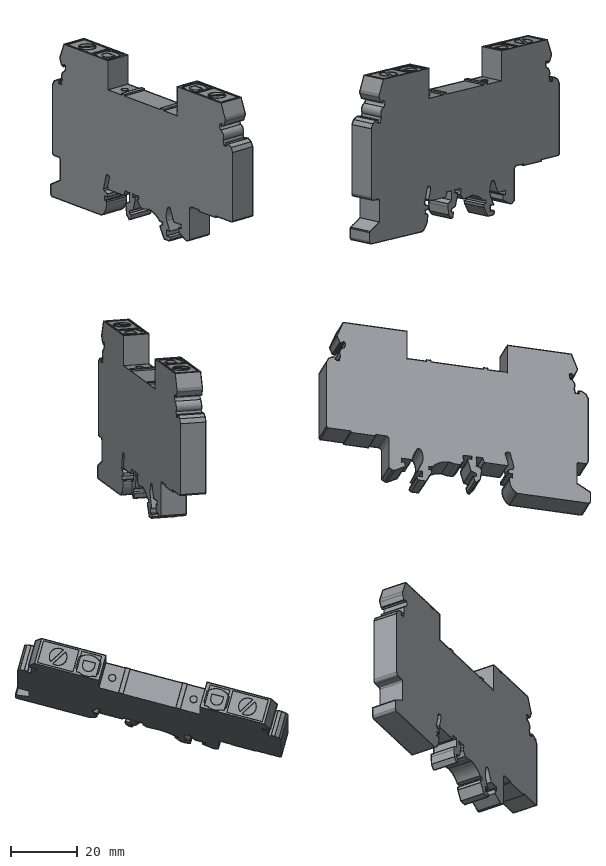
import cadquery as cq

thickness = 8.0
top_z = 50.1
overall_length = 82.8
foot_reach = 0.75
half_width = (overall_length - foot_reach) / 2
split_z = 16.6

deck_z = 40.8
tower_inner_x = 15.7
tower_outer_x = 35.8
ridge_inner_x = 8.2
ridge_width = 1.4
ridge_height = 0.5

shelf_z = 13.5
pad_start_x = 25.5
pad_end_x = 33.3
pad_drop = 0.5
wall_corner_radius = 1.0
wall_chamfer = 0.4

mark_depth = 0.1
terminal_x = 29.5
terminal_length = 11.0
terminal_width = 6.95
screw_y = -0.2
screw_radius = 2.65
slot_width = 0.9
slot_angle = 59.0
test_point_x = 12.7
test_point_radius = 1.1

button_x = 19.95
button_plate_half = 3.1
button_plate_top = 3.4
button_plate_bottom = -3.15
barrel_half = 3.5
barrel_crown_top = 2.9
barrel_crown_bottom = -3.7
barrel_rise = 1.65
dee_radius = 1.8
dee_top = 0.9
dee_center_y = -0.3


def extrude_profile(path):
    """Extrude a closed XZ outline, centred on Y = 0."""
    return path.close().extrude(thickness / 2, both=True)


def upper_half():
    """Right half of the upper housing, with the marker-strip notches on its outer side."""
    path = (
        cq.Workplane("XZ")
        .moveTo(0, split_z)
        .lineTo(0, deck_z)
        .lineTo(ridge_inner_x, deck_z)
        .lineTo(ridge_inner_x, deck_z + ridge_height)
        .lineTo(ridge_inner_x + ridge_width, deck_z + ridge_height)
        .lineTo(ridge_inner_x + ridge_width, deck_z)
        .lineTo(tower_inner_x, deck_z)
        .lineTo(tower_inner_x, top_z)
        .lineTo(tower_outer_x, top_z)
        .lineTo(37.5, 45.7)
        .threePointArc((37.7, 45.2), (37.5, 44.7))
        .lineTo(36.85, 43.1)
        .lineTo(36.4, 43.1)
        .lineTo(36.0, 42.8)
        .lineTo(35.85, 43.55)
        .lineTo(35.3, 43.4)
        .threePointArc((35.1, 42.5), (35.6, 41.5))
        .threePointArc((36.8, 40.2), (36.6, 38.5))
        .lineTo(36.85, 37.8)
        .lineTo(37.0, 36.9)
        .lineTo(37.8, 36.9)
        .lineTo(38.25, 37.2)
        .lineTo(37.9, 37.9)
        .lineTo(39.0, 37.9)
        .lineTo(40.3, 37.2)
        .lineTo(half_width, 35.8)
        .lineTo(half_width, split_z)
    )
    return extrude_profile(path)


def lower_body():
    """Foot and DIN-rail clip below the upper housing."""
    leg_x = 21.45
    foot_x = -half_width - foot_reach
    path = (
        cq.Workplane("XZ")
        .moveTo(-half_width, split_z)
        .lineTo(-half_width, shelf_z + wall_corner_radius)
        .radiusArc((-half_width + wall_corner_radius, shelf_z), -wall_corner_radius)
        .lineTo(-38.0, shelf_z)
        .threePointArc((-37.7, 13.3), (-37.5, 13.0))
        .lineTo(-37.5, 6.4)
        .lineTo(foot_x + 0.25, 4.1)
        .lineTo(foot_x, 3.8)
        .lineTo(foot_x, 1.0)
        .threePointArc((foot_x + 0.25, 0.4), (foot_x + 0.75, 0.2))
        .lineTo(-18.7, 0.2)
        .threePointArc((-17.05, 1.8), (-16.4, 4.0))
        .lineTo(-16.3, 5.0)
        .lineTo(-16.65, 5.3)
        .lineTo(-17.3, 5.3)
        .lineTo(-17.3, 6.6)
        .lineTo(-16.0, 6.6)
        .lineTo(-16.0, 7.6)
        .lineTo(-17.5, 8.3)
        .lineTo(-17.7, 8.8)
        .lineTo(-16.7, 12.9)
        .threePointArc((-15.9, 13.75), (-15.1, 12.8))
        .lineTo(-16.0, 9.6)
        .lineTo(-15.65, 9.1)
        .lineTo(-8.45, 9.1)
        .lineTo(-7.95, 10.6)
        .lineTo(-6.0, 10.6)
        .lineTo(-6.0, 7.7)
        .lineTo(-7.5, 6.9)
        .lineTo(-7.5, 5.9)
        .lineTo(-7.3, 3.4)
        .lineTo(-6.05, 2.0)
        .lineTo(-5.5, 2.3)
        .lineTo(-5.05, 3.8)
        .lineTo(-6.0, 4.1)
        .threePointArc((-6.0, 4.8), (-5.5, 5.1))
        .lineTo(-4.3, 5.55)
        .lineTo(-3.3, 8.95)
        .lineTo(-3.5, 9.6)
        .lineTo(-4.55, 9.6)
        .lineTo(-4.55, 10.6)
        .lineTo(-2.3, 10.6)
        .threePointArc((-1.9, 10.4), (-1.9, 9.85))
        .lineTo(-2.1, 8.7)
        .lineTo(-0.9, 7.2)
        .lineTo(0.75, 7.2)
        .lineTo(2.65, 7.6)
        .threePointArc((5.4, 6.95), (7.8, 5.2))
        .lineTo(8.95, 5.1)
        .lineTo(8.95, 4.2)
        .lineTo(7.95, 3.9)
        .lineTo(8.1, 3.0)
        .lineTo(9.85, 0)
        .lineTo(12.2, 0)
        .lineTo(12.75, 0.7)
        .lineTo(12.6, 1.3)
        .lineTo(10.9, 1.3)
        .lineTo(10.9, 3.15)
        .lineTo(12.4, 3.15)
        .lineTo(11.0, 6.1)
        .threePointArc((10.8, 8.0), (11.35, 10.2))
        .threePointArc((12.1, 10.7), (12.75, 10.2))
        .lineTo(14.25, 6.6)
        .lineTo(17.5, 6.6)
        .lineTo(17.5, 5.4)
        .lineTo(16.5, 5.4)
        .lineTo(16.5, 3.9)
        .lineTo(19.7, 2.15)
        .lineTo(20.4, 2.15)
        .lineTo(leg_x, 2.9)
        .lineTo(leg_x, shelf_z - wall_corner_radius)
        .radiusArc((leg_x + wall_corner_radius, shelf_z), wall_corner_radius)
        .lineTo(pad_start_x, shelf_z)
        .lineTo(pad_start_x, shelf_z - pad_drop)
        .lineTo(pad_end_x, shelf_z - pad_drop)
        .lineTo(pad_end_x, shelf_z)
        .lineTo(half_width - wall_chamfer, shelf_z)
        .lineTo(half_width, shelf_z + wall_chamfer)
        .lineTo(half_width, split_z)
    )
    return extrude_profile(path)


def top_plane(x, level):
    """Sketch plane facing up, lying `level` mark depths below the tower tops."""
    return cq.Workplane("XY", origin=(x, 0, top_z - level * mark_depth))


def terminal_recess(x):
    """Recess around a screw head whose driver slot reaches the recess floor."""
    floor = top_plane(x, 1)
    recess = floor.rect(terminal_length, terminal_width).extrude(mark_depth)
    turned_floor = floor.transformed(offset=(0, screw_y, 0), rotate=(0, 0, slot_angle))
    slot_cutter = turned_floor.rect(3 * screw_radius, slot_width).extrude(mark_depth)
    screw_head = turned_floor.circle(screw_radius).extrude(mark_depth).cut(slot_cutter)
    return recess.cut(screw_head)


def barrel(x, level, height):
    """Straight-sided button body with curved ends."""
    return (
        top_plane(x, level)
        .moveTo(-barrel_half, barrel_crown_bottom + barrel_rise)
        .lineTo(-barrel_half, barrel_crown_top - barrel_rise)
        .threePointArc((0, barrel_crown_top), (barrel_half, barrel_crown_top - barrel_rise))
        .lineTo(barrel_half, barrel_crown_bottom + barrel_rise)
        .threePointArc((0, barrel_crown_bottom), (-barrel_half, barrel_crown_bottom + barrel_rise))
        .close()
        .extrude(height)
    )


def plate(x, level, height):
    """Rectangular button plate."""
    plate_length = button_plate_top - button_plate_bottom
    plate_center = (button_plate_top + button_plate_bottom) / 2
    return (
        top_plane(x, level)
        .center(0, plate_center)
        .rect(2 * button_plate_half, plate_length)
        .extrude(height)
    )


def button_recess(x):
    """Stepped recess of a push button: rim, core face and a D-shaped mark."""
    rim = plate(x, 1, mark_depth).union(barrel(x, 1, mark_depth))
    crown_gap = plate(x, 2, mark_depth).cut(barrel(x, 2, mark_depth))
    upper_side = top_plane(x, 2).center(0, thickness / 2).rect(thickness, thickness).extrude(mark_depth)
    core = plate(x, 2, mark_depth).cut(crown_gap.intersect(upper_side))
    core_strip = top_plane(x, 2).rect(2 * button_plate_half, thickness).extrude(mark_depth)
    core = core.union(barrel(x, 2, mark_depth).intersect(core_strip))
    dee = (
        top_plane(x, 3)
        .moveTo(-dee_radius, dee_center_y)
        .lineTo(-dee_radius, dee_top)
        .lineTo(dee_radius, dee_top)
        .lineTo(dee_radius, dee_center_y)
        .threePointArc((0, dee_center_y - dee_radius), (-dee_radius, dee_center_y))
        .close()
        .extrude(mark_depth)
    )
    return rim.union(core).union(dee)


def test_point(x):
    """Shallow round test point in the deck between the towers."""
    floor = cq.Workplane("XY", origin=(x, 0, deck_z - mark_depth))
    return floor.circle(test_point_radius).extrude(mark_depth)


upper = upper_half()
result = upper.union(upper.mirror("YZ")).union(lower_body()).clean()

for side in (-1, 1):
    result = result.cut(terminal_recess(side * terminal_x))
    result = result.cut(button_recess(side * button_x))
    result = result.cut(test_point(side * test_point_x))